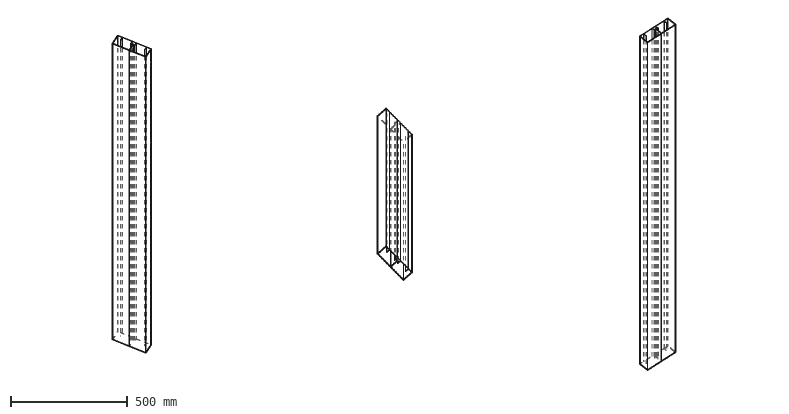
import cadquery as cq

LENGTH = 2000.0
WIDTH = 165.0
DEPTH = 52.0
WALL = 3.0

PARTITION_THICKNESS = 3.0
HEAD_WIDTH = 18.0
HEAD_DEPTH = 12.0

COVER_THICKNESS = 1.5
LEG_HEIGHT = 15.0
OUTER_LEG_X = 58.0

SIDE_X = WIDTH / 2
INNER_SIDE_X = SIDE_X - WALL
BACK_Y = DEPTH / 2
FRONT_Y = -DEPTH / 2
COVER_INNER_Y = BACK_Y - COVER_THICKNESS
LEG_TIP_Y = COVER_INNER_Y - LEG_HEIGHT
BOTTOM_Z = -LENGTH / 2


def bar(x_range, y_range):
    """Full-length rectangular bar between two X and two Y limits."""
    x_size = x_range[1] - x_range[0]
    y_size = y_range[1] - y_range[0]
    bar_corner = (x_range[0], y_range[0], BOTTOM_Z)
    return cq.Workplane("XY").box(x_size, y_size, LENGTH, centered=False).translate(bar_corner)


def make_trunk():
    """Open-backed channel with a T-shaped partition down the middle."""
    shell = bar((-SIDE_X, SIDE_X), (FRONT_Y, BACK_Y))
    opening = bar((-INNER_SIDE_X, INNER_SIDE_X), (FRONT_Y + WALL, BACK_Y))
    partition = bar((-PARTITION_THICKNESS / 2, PARTITION_THICKNESS / 2), (FRONT_Y, BACK_Y))
    head = bar((-HEAD_WIDTH / 2, HEAD_WIDTH / 2), (BACK_Y - HEAD_DEPTH, BACK_Y))
    return shell.cut(opening.cut(partition).cut(head))


def make_cover(side):
    """Cover closing one compartment; side is -1 for the left one and +1 for the right one."""
    inner_edge_x = HEAD_WIDTH / 2
    cover = bar((inner_edge_x, INNER_SIDE_X), (COVER_INNER_Y, BACK_Y))
    for leg_x in (inner_edge_x, OUTER_LEG_X):
        leg = bar((leg_x, leg_x + COVER_THICKNESS), (LEG_TIP_Y, COVER_INNER_Y))
        cover = cover.union(leg)
    return cover if side > 0 else cover.mirror("YZ")


trunk = make_trunk()
covers = [make_cover(side) for side in (-1, 1)]

result = cq.Compound.makeCompound([trunk.val(), *(cover.val() for cover in covers)])